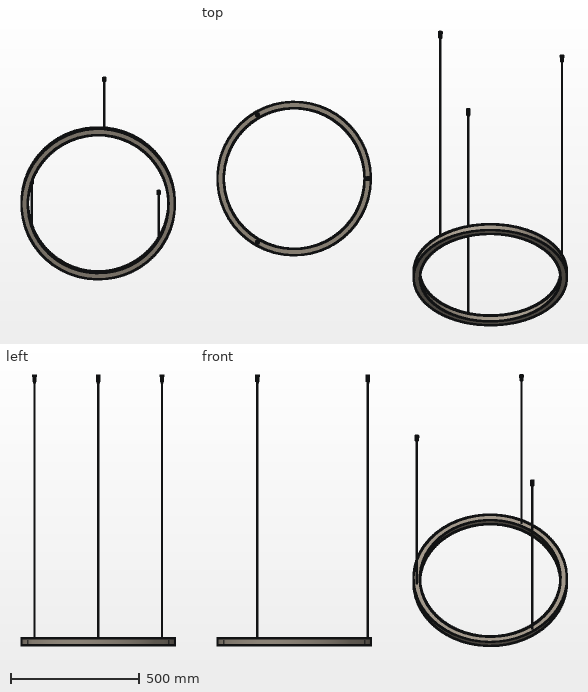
import cadquery as cq
import math

total_height = 1053.0
ring_height = 29.5
ring_outer_diameter = 600.0
ring_inner_diameter = 547.0

channel_outer_diameter = 598.0
channel_inner_diameter = 551.0
top_plate_thickness = 2.0
channel_depth = ring_height - top_plate_thickness

suspension_count = 3
suspension_radius = (channel_outer_diameter + channel_inner_diameter) / 4
suspension_angles = [i * 360 / suspension_count for i in range(suspension_count)]
mount_width = 11.0

flange_diameter = 11.0
flange_thickness = 1.0
grip_diameter = 9.0
grip_length = 20.0
nozzle_diameter = 4.0
nozzle_length = 5.0
cable_diameter = 1.2
cable_top = total_height - flange_thickness - grip_length - nozzle_length


def flat_ring(outer_diameter, inner_diameter, height):
    """Ring around the Z axis that stands on Z = 0."""
    return cq.Workplane("XY").circle(outer_diameter / 2).circle(inner_diameter / 2).extrude(height)


def suspension_point(angle):
    """Place on the XY plane below the ceiling grip at this angle."""
    return (
        suspension_radius * math.cos(math.radians(angle)),
        suspension_radius * math.sin(math.radians(angle)),
    )


def mount_zones():
    """Radial blocks that mark off the ring section around each suspension point."""
    block_length = ring_outer_diameter - ring_inner_diameter
    zones = cq.Workplane("XY")
    for angle in suspension_angles:
        block = cq.Workplane("XY").box(block_length, mount_width, ring_height, centered=(True, True, False))
        block = block.translate((suspension_radius, 0, 0))
        zones = zones.add(block.rotate((0, 0, 0), (0, 0, 1), angle))
    return zones.combine()


def make_housing():
    """Ring with a channel open at the bottom and seams beside each suspension point."""
    channel = flat_ring(channel_outer_diameter, channel_inner_diameter, channel_depth)
    profile = flat_ring(ring_outer_diameter, ring_inner_diameter, ring_height).cut(channel)
    zones = mount_zones()
    arcs = profile.cut(zones)
    mounts = profile.intersect(zones)
    return arcs.union(mounts, clean=False)


def make_light_insert():
    """Ring that fills the channel of the housing."""
    return flat_ring(channel_outer_diameter, channel_inner_diameter, channel_depth)


def make_grip(angle):
    """Ceiling grip: flange at the top, round body, narrow nozzle where the cable leaves."""
    ceiling = cq.Workplane("XY", origin=(0, 0, total_height))
    flange = ceiling.circle(flange_diameter / 2).extrude(-flange_thickness)
    body = flange.faces("<Z").workplane().circle(grip_diameter / 2).extrude(grip_length)
    grip = body.faces("<Z").workplane().circle(nozzle_diameter / 2).extrude(nozzle_length)
    x, y = suspension_point(angle)
    return grip.translate((x, y, 0))


def make_cable(angle):
    """Cable from the top of the housing to the nozzle of the grip."""
    x, y = suspension_point(angle)
    cable = cq.Workplane("XY", origin=(x, y, ring_height))
    return cable.circle(cable_diameter / 2).extrude(cable_top - ring_height)


housing = make_housing()
light_insert = make_light_insert()
grips = [make_grip(angle).solids().val() for angle in suspension_angles]
cables = [make_cable(angle).val() for angle in suspension_angles]

result = cq.Compound.makeCompound([housing.solids().val(), light_insert.val(), *grips, *cables])